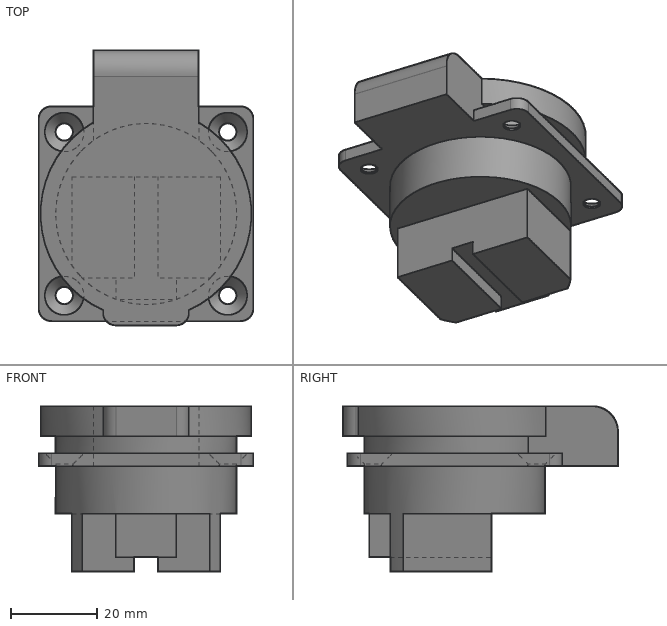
import cadquery as cq

lid_height = 7.0
neck_height = 4.0
plate_height = 3.0
body_height = 11.1
terminal_height = 13.5

plate_top = plate_height
lid_bottom = plate_top + neck_height
lid_top = lid_bottom + lid_height
body_bottom = -body_height
terminal_bottom = body_bottom - terminal_height

plate_side = 50.0
plate_corner_radius = 3.0
screw_spacing = 38.0
screw_hole_diameter = 4.0
countersink_diameter = 9.0
countersink_angle = 90

body_diameter = 42.1
lid_diameter = 49.0

finger_tab_width = 20.0
finger_tab_reach = 26.0
finger_tab_radius = 3.0

overall_length = 64
hinge_width = 24.5
hinge_reach = overall_length - finger_tab_reach
hinge_radius = 6.0

terminal_width = 34.6
terminal_front = -14.9
terminal_back = 8.6
clamp_width = 14.1
clamp_front = -19.9
clamp_height = 10.1
slot_width = 5.6


def centred_box(width, y_front, y_back, z_bottom, z_top):
    """Box symmetric about X = 0 between the given Y and Z limits."""
    return (
        cq.Workplane("XY", origin=(0, (y_front + y_back) / 2, z_bottom))
        .rect(width, y_back - y_front)
        .extrude(z_top - z_bottom)
    )


def cylinder(diameter, z_bottom, z_top):
    """Cylinder on the Z axis between two heights."""
    return cq.Workplane("XY", origin=(0, 0, z_bottom)).circle(diameter / 2).extrude(z_top - z_bottom)


def make_plate():
    return (
        cq.Workplane("XY")
        .rect(plate_side, plate_side)
        .extrude(plate_height)
        .edges("|Z")
        .fillet(plate_corner_radius)
        .faces(">Z")
        .workplane()
        .rect(screw_spacing, screw_spacing, forConstruction=True)
        .vertices()
        .cskHole(screw_hole_diameter, countersink_diameter, countersink_angle)
    )


def make_lid():
    disc = cylinder(lid_diameter, lid_bottom, lid_top)
    finger_tab = centred_box(finger_tab_width, -finger_tab_reach, 0, lid_bottom, lid_top)
    finger_tab = finger_tab.edges("|Z and <Y").fillet(finger_tab_radius)
    return disc.union(finger_tab)


def make_hinge():
    hinge = centred_box(hinge_width, 0, hinge_reach, 0, lid_top)
    return hinge.edges("|X and >Y and >Z").fillet(hinge_radius)


def make_terminal_block():
    block = centred_box(terminal_width, terminal_front, terminal_back, terminal_bottom, body_bottom)
    block = block.intersect(cylinder(body_diameter, terminal_bottom, body_bottom))
    clamp_bottom = body_bottom - clamp_height
    slot = centred_box(slot_width, terminal_front, terminal_back, terminal_bottom, clamp_bottom)
    clamp = centred_box(clamp_width, clamp_front, terminal_front, clamp_bottom, body_bottom)
    return block.cut(slot).union(clamp)


result = (
    cylinder(body_diameter, body_bottom, lid_bottom)
    .union(make_plate())
    .union(make_lid())
    .union(make_hinge())
    .union(make_terminal_block())
)